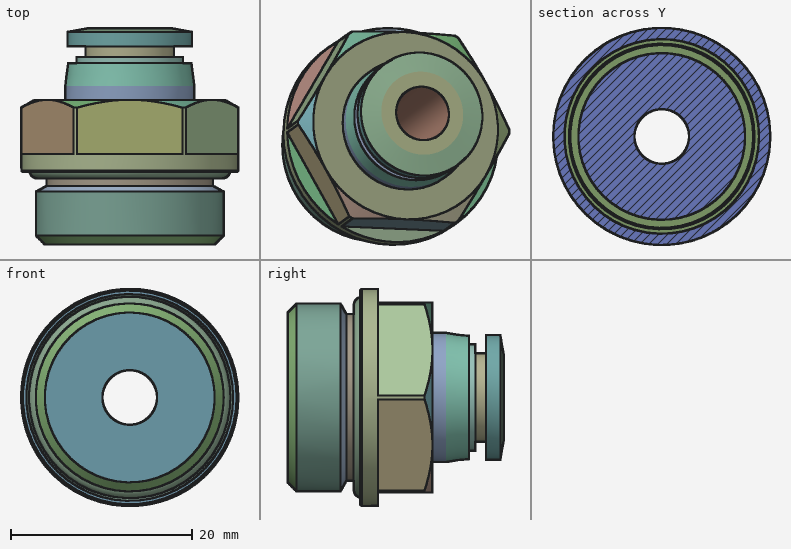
import cadquery as cq
import math


bore_radius = 3.0

port_radius = 10.38
port_chamfer = 1.0
port_end = 5.85
neck_radius = 9.22
neck_start = 6.5

flange_radius = 12.0
flange_face = 8.0
flange_thickness = 2.0
flange_chamfer = 0.2
flange_end = flange_face + flange_thickness
recess_radius = 11.42
recess_wall_angle = math.radians(30)

ring_section_radius = 0.95
ring_front = 7.3
ring_centre_radius = neck_radius + ring_section_radius
ring_centre = ring_front + ring_section_radius
recess_floor = ring_centre + ring_section_radius
recess_floor_radius = recess_radius - (recess_floor - flange_face) * math.tan(recess_wall_angle)

hex_across_flats = 21.0
hex_height = 6.0
hex_turn = 30
hex_chamfer_angle = math.radians(30)
hex_end = flange_end + hex_height
hex_chamfer_radius = hex_across_flats / 2
hex_chamfer_height = (flange_radius - hex_chamfer_radius) * math.tan(hex_chamfer_angle)

shoulder_radius = 7.15
shoulder_straight_end = 17.5
shoulder_end = 20.05
shoulder_end_radius = 6.82

collar_radius = 5.9
collar_end = 20.75
stem_radius = 4.9
stem_end = 21.9
head_radius = 6.9
head_straight_end = 23.5
head_end_radius = 4.66
overall_length = 23.9


def revolve_about_y(profile):
    """Turn a closed (radius, Y) profile a full circle about the Y axis."""
    return profile.close().revolve(360, (0, 0, 0), (0, 1, 0))


def make_port_and_flange():
    profile = (
        cq.Workplane("XY")
        .moveTo(0, 0)
        .lineTo(port_radius - port_chamfer, 0)
        .lineTo(port_radius, port_chamfer)
        .lineTo(port_radius, port_end)
        .lineTo(neck_radius, neck_start)
        .lineTo(neck_radius, recess_floor)
        .lineTo(recess_floor_radius, recess_floor)
        .lineTo(recess_radius, flange_face)
        .lineTo(flange_radius - flange_chamfer, flange_face)
        .lineTo(flange_radius, flange_face + flange_chamfer)
        .lineTo(flange_radius, flange_end)
        .lineTo(0, flange_end)
    )
    return revolve_about_y(profile)


def make_hexagon():
    """Hexagon with flats facing +Z and -Z, cut by a turned blank with a chamfered rear edge."""
    prism = (
        cq.Workplane("XZ", origin=(0, flange_end, 0))
        .polygon(6, hex_across_flats, circumscribed=True)
        .extrude(-hex_height)
        .rotate((0, 0, 0), (0, 1, 0), hex_turn)
    )
    blank = revolve_about_y(
        cq.Workplane("XY")
        .moveTo(0, flange_end)
        .lineTo(flange_radius, flange_end)
        .lineTo(flange_radius, hex_end - hex_chamfer_height)
        .lineTo(hex_chamfer_radius, hex_end)
        .lineTo(0, hex_end)
    )
    return prism.intersect(blank)


def make_shoulder_and_button():
    profile = (
        cq.Workplane("XY")
        .moveTo(0, hex_end)
        .lineTo(shoulder_radius, hex_end)
        .lineTo(shoulder_radius, shoulder_straight_end)
        .lineTo(shoulder_end_radius, shoulder_end)
        .lineTo(collar_radius, shoulder_end)
        .lineTo(collar_radius, collar_end)
        .lineTo(stem_radius, collar_end)
        .lineTo(stem_radius, stem_end)
        .lineTo(head_radius, stem_end)
        .lineTo(head_radius, head_straight_end)
        .lineTo(head_end_radius, overall_length)
        .lineTo(0, overall_length)
    )
    return revolve_about_y(profile)


def make_fitting():
    bore = cq.Workplane("XZ").circle(bore_radius).extrude(-overall_length)
    outside = make_port_and_flange().union(make_hexagon()).union(make_shoulder_and_button())
    return outside.cut(bore).solids()


def make_sealing_ring():
    section = cq.Workplane("XY").center(ring_centre_radius, ring_centre).circle(ring_section_radius)
    return section.revolve(360, (-ring_centre_radius, 0, 0), (-ring_centre_radius, 1, 0))


fitting = make_fitting()
sealing_ring = make_sealing_ring()

result = cq.Compound.makeCompound([fitting.val(), sealing_ring.val()])